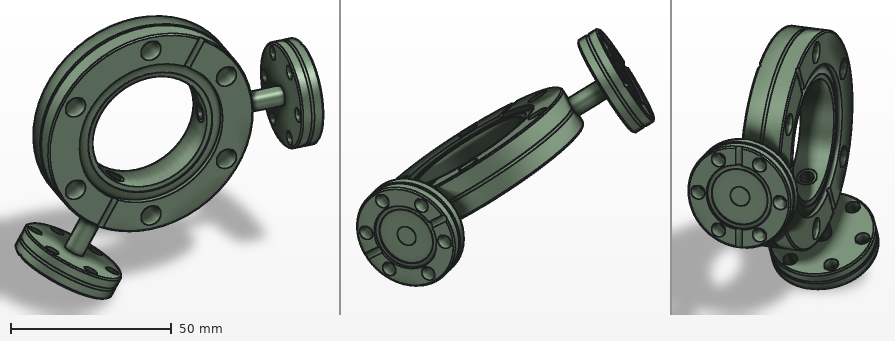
import cadquery as cq
import math

ring_diameter = 69.1
ring_thickness = 13.0
ring_bore_diameter = 38.4
ring_recess_diameter = 48.26
ring_recess_depth = 1.7
ring_knife_diameter = 41.8
ring_bolt_circle = 58.7
ring_bolt_diameter = 6.7
ring_chamfer = 0.5
ring_leak_groove_angle = 60.0

port_diameter = 33.8
port_thickness = 7.5
port_recess_diameter = 21.4
port_recess_depth = 1.1
port_knife_diameter = 18.4
port_bolt_circle = 27.0
port_bolt_diameter = 4.5
port_chamfer = 0.5
port_reach = 54.0

tube_diameter = 6.35
tube_bore_diameter = 4.4

knife_slope = 20.0
seal_floor_depth = 1.0
rim_groove_width = 1.0
rim_groove_depth = 0.2
leak_groove_radius = 1.2
leak_groove_depth = 0.7
bolt_count = 6

port_angles = [0.0, -120.0]


def disc(diameter, bottom, top):
    return cq.Workplane("XY").workplane(offset=bottom).circle(diameter / 2).extrude(top - bottom)


def flange_blank(diameter, thickness, chamfer):
    """Chamfered disc on the Z axis, top face at z = 0, with a shallow round groove at mid-rim."""
    blank = disc(diameter, -thickness, 0).edges().chamfer(chamfer)
    rim_radius = diameter / 2
    groove = (
        cq.Workplane("XZ")
        .moveTo(rim_radius, -(thickness + rim_groove_width) / 2)
        .threePointArc(
            (rim_radius - rim_groove_depth, -thickness / 2),
            (rim_radius, -(thickness - rim_groove_width) / 2),
        )
        .close()
        .revolve(360, (0, 0, 0), (0, 1, 0))
    )
    return blank.cut(groove)


def seal_cutter(recess_diameter, recess_depth, knife_diameter):
    """Recess in a top face at z = 0: a cone rising inwards to the knife edge, then the seal floor."""
    recess_radius = recess_diameter / 2
    knife_radius = knife_diameter / 2
    knife_rise = (recess_radius - knife_radius) * math.tan(math.radians(knife_slope))
    return (
        cq.Workplane("XZ")
        .moveTo(0, 0)
        .lineTo(recess_radius, 0)
        .lineTo(recess_radius, -recess_depth)
        .lineTo(knife_radius, knife_rise - recess_depth)
        .lineTo(knife_radius, -seal_floor_depth)
        .lineTo(0, -seal_floor_depth)
        .close()
        .revolve(360, (0, 0, 0), (0, 1, 0))
    )


def leak_groove_cutter(diameter, recess_diameter):
    """Round-bottomed grooves along Y in a top face at z = 0, from the recess out to the rim."""
    groove = (
        cq.Workplane("XZ")
        .center(0, leak_groove_radius - leak_groove_depth)
        .circle(leak_groove_radius)
        .extrude(diameter, both=True)
    )
    return groove.cut(disc(recess_diameter, -2 * leak_groove_radius, 2 * leak_groove_radius))


def bolt_holes(circle_diameter, hole_diameter, thickness):
    return (
        cq.Workplane("XY")
        .polarArray(circle_diameter / 2, 0, 360, bolt_count)
        .circle(hole_diameter / 2)
        .extrude(-thickness)
    )


def along_port(body, angle):
    """Turn a body standing on +Z so that it points along the port direction."""
    return body.rotate((0, 0, 0), (1, 0, 0), angle - 90)


def make_ring():
    ring = flange_blank(ring_diameter, ring_thickness, ring_chamfer)
    ring = ring.cut(bolt_holes(ring_bolt_circle, ring_bolt_diameter, ring_thickness))
    ring = ring.cut(disc(ring_bore_diameter, -ring_thickness, 0))
    leak_grooves = leak_groove_cutter(ring_diameter, ring_recess_diameter)
    leak_grooves = leak_grooves.rotate((0, 0, 0), (0, 0, 1), ring_leak_groove_angle)
    seal_recess = seal_cutter(ring_recess_diameter, ring_recess_depth, ring_knife_diameter)
    face_cutter = seal_recess.union(leak_grooves)
    mid_plane = (0, 0, -ring_thickness / 2)
    ring = ring.cut(face_cutter).cut(face_cutter.mirror("XY", mid_plane))
    ring = ring.translate((0, 0, ring_thickness / 2)).rotate((0, 0, 0), (0, 1, 0), 90)
    for angle in port_angles:
        ring = ring.cut(along_port(disc(tube_diameter, 0, ring_diameter), angle))
    return ring


def make_port_flange(angle):
    flange = flange_blank(port_diameter, port_thickness, port_chamfer)
    flange = flange.cut(bolt_holes(port_bolt_circle, port_bolt_diameter, port_thickness))
    flange = flange.cut(seal_cutter(port_recess_diameter, port_recess_depth, port_knife_diameter))
    flange = flange.cut(leak_groove_cutter(port_diameter, port_recess_diameter))
    flange = flange.cut(disc(tube_diameter, -port_thickness, 0))
    return along_port(flange.translate((0, 0, port_reach)), angle)


def make_tube(angle):
    """Tube flush with the seal floor and the ring bore, its own bore closed inside the port flange."""
    tube_end = port_reach - seal_floor_depth
    bore_end = port_reach - port_thickness
    tube = disc(tube_diameter, 0, tube_end).cut(disc(tube_bore_diameter, 0, bore_end))
    ring_bore = cq.Workplane("YZ").circle(ring_bore_diameter / 2).extrude(ring_thickness, both=True)
    return along_port(tube, angle).cut(ring_bore)


ring = make_ring()
port_flanges = [make_port_flange(angle) for angle in port_angles]
tubes = [make_tube(angle) for angle in port_angles]

result = cq.Compound.makeCompound([body.val() for body in [ring, *port_flanges, *tubes]])